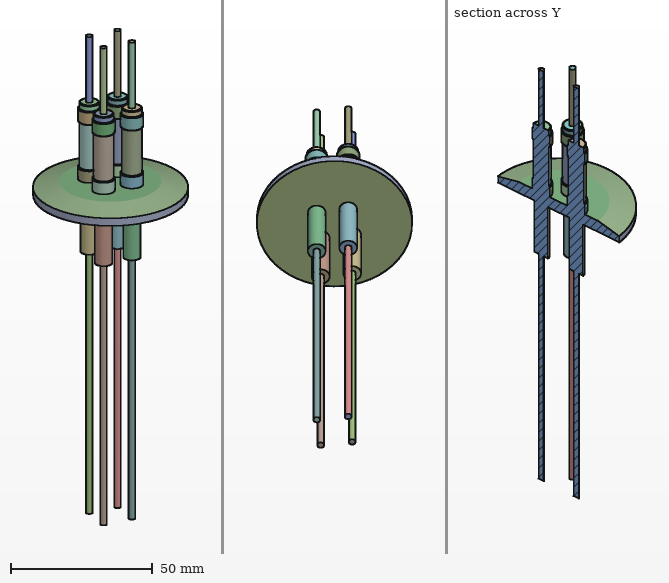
import cadquery as cq
flange_diameter = 54.9
flange_land_diameter = 36.0
flange_rim_height = 3.0
flange_height = 5.2

pin_count = 4
pin_circle_radius = 8.0

total_height = 184.2
rod_diameter = 2.4
rod_top = 60.2
rod_bottom = rod_top - total_height

lower_sleeve_diameter = 6.3
lower_sleeve_bottom = -23.0
upper_sleeve_diameter = 7.2
upper_sleeve_top = 34.8

collar_diameter = 8.1
lower_collar_top = 10.0
upper_collar_bottom = 27.3
upper_collar_top = 32.6

edge_bevel = 0.4


def cylinder(diameter, bottom, top):
    """Solid cylinder on the Z axis between two heights."""
    return cq.Workplane("XY").workplane(offset=bottom).circle(diameter / 2).extrude(top - bottom)


def make_flange():
    """Disc revolved from a half profile with a straight rim and a sloping shoulder."""
    rim_radius = flange_diameter / 2
    land_radius = flange_land_diameter / 2
    profile = (
        cq.Workplane("XZ")
        .lineTo(rim_radius, 0)
        .lineTo(rim_radius, flange_rim_height)
        .lineTo(land_radius, flange_height)
        .lineTo(0, flange_height)
        .close()
    )
    return profile.revolve(360, (0, 0, 0), (0, 1, 0))


def make_pin():
    """One feedthrough on the Z axis: rod, stepped sleeve and two collars."""
    rod = cylinder(rod_diameter, rod_bottom, rod_top)
    lower_sleeve = cylinder(lower_sleeve_diameter, lower_sleeve_bottom, flange_height)
    upper_sleeve = cylinder(upper_sleeve_diameter, 0, upper_sleeve_top).faces(">Z").chamfer(edge_bevel)
    lower_collar = cylinder(collar_diameter, 0, lower_collar_top).faces(">Z").chamfer(edge_bevel)
    upper_collar = cylinder(collar_diameter, upper_collar_bottom, upper_collar_top)
    upper_collar = upper_collar.faces("<Z or >Z").chamfer(edge_bevel)
    return rod.union(lower_sleeve).union(upper_sleeve).union(lower_collar).union(upper_collar)


result = make_flange()
pin = make_pin().translate((pin_circle_radius, 0, 0))
for index in range(pin_count):
    angle = index * 360 / pin_count
    result = result.union(pin.rotate((0, 0, 0), (0, 0, 1), angle))